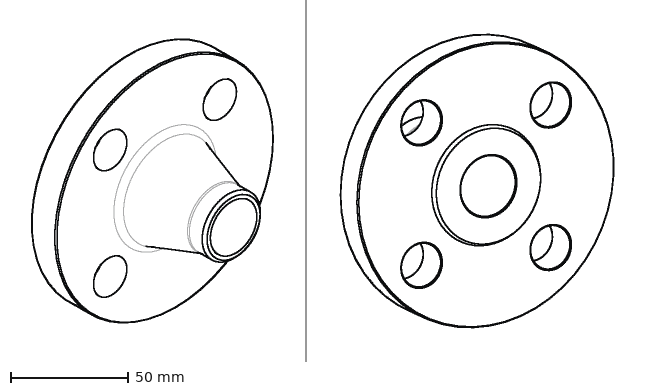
import cadquery as cq

length = 62.0
face_height = 2.0
flange_back = 18.1
neck_end = 51.6

flange_radius = 125 / 2
face_base_radius = 26.5
face_top_radius = 25.4
neck_base_radius = 26.9
pipe_radius = 33.4 / 2
bore_radius = 26.6 / 2

rim_chamfer_width = 0.8
rim_chamfer_depth = 0.5
weld_bevel = 1.5
neck_fillet = 3.5
hole_chamfer = 0.5

bolt_hole_diameter = 19.1
bolt_circle_diameter = 88.9
bolt_count = 4
first_bolt_angle = 45


def turned_body():
    """Revolve the outer half-profile of the flange, neck and pipe end."""
    profile = (
        cq.Workplane("XY")
        .moveTo(0, 0)
        .lineTo(0, face_top_radius)
        .lineTo(face_height, face_base_radius)
        .lineTo(face_height, flange_radius - rim_chamfer_depth)
        .lineTo(face_height + rim_chamfer_width, flange_radius)
        .lineTo(flange_back - rim_chamfer_width, flange_radius)
        .lineTo(flange_back, flange_radius - rim_chamfer_depth)
        .lineTo(flange_back, neck_base_radius)
        .lineTo(neck_end, pipe_radius)
        .lineTo(length - weld_bevel, pipe_radius)
        .lineTo(length, pipe_radius - weld_bevel)
        .lineTo(length, 0)
        .close()
    )
    return profile.revolve(360, (0, 0, 0), (1, 0, 0))


def blend_neck(body):
    """Round both ends of the conical neck."""
    tolerance = 0.1
    for position, radius in ((flange_back, neck_base_radius), (neck_end, pipe_radius)):
        corner = cq.selectors.BoxSelector(
            (position - tolerance, -radius - tolerance, -radius - tolerance),
            (position + tolerance, radius + tolerance, radius + tolerance),
            boundingbox=True,
        )
        body = body.edges(corner).fillet(neck_fillet)
    return body


def hole_cutter(radius, start, end):
    """Through-hole tool along X, chamfered at its start."""
    return (
        cq.Workplane("XY")
        .moveTo(start, 0)
        .lineTo(start, radius + hole_chamfer)
        .lineTo(start + hole_chamfer, radius)
        .lineTo(end, radius)
        .lineTo(end, 0)
        .close()
        .revolve(360, (0, 0, 0), (1, 0, 0))
    )


result = blend_neck(turned_body())
result = result.cut(hole_cutter(bore_radius, 0, length))

bolt_hole = hole_cutter(bolt_hole_diameter / 2, face_height, flange_back)
bolt_hole = bolt_hole.translate((0, bolt_circle_diameter / 2, 0))
for index in range(bolt_count):
    angle = first_bolt_angle + index * 360 / bolt_count
    result = result.cut(bolt_hole.rotate((0, 0, 0), (1, 0, 0), angle))